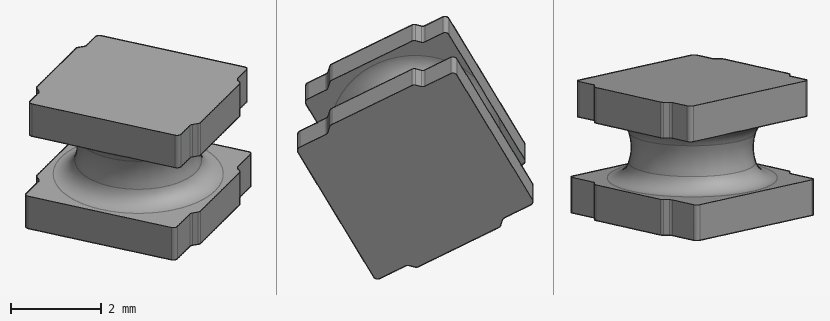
import cadquery as cq
import math

total_height = 3.02
neck_height = 1.4
flange_thickness = (total_height - neck_height) / 2
neck_middle_z = total_height / 2

flange_width = 4.0
lower_flange_depth = 4.0
upper_flange_depth = 3.6
shoulder_step = 0.15
lug_half_length = 1.05
edge_radius = 0.1

waist_radius = 1.35
fillet_radius = 0.5
waist_half_height = neck_height / 4


def make_flange(depth, base_z):
    """Flange with a rounded-corner lug on each X side."""
    lug_x = flange_width / 2
    shoulder_x = lug_x - shoulder_step
    shoulder_y = lug_half_length + shoulder_step
    end_y = depth / 2
    quarter = [
        (lug_x, lug_half_length),
        (shoulder_x, shoulder_y),
        (shoulder_x, end_y),
    ]
    right_side = [(x, -y) for x, y in reversed(quarter)] + quarter
    left_side = [(-x, -y) for x, y in right_side]
    return (
        cq.Workplane("XY", origin=(0, 0, base_z))
        .polyline(right_side + left_side)
        .close()
        .extrude(flange_thickness)
        .edges("|Z")
        .fillet(edge_radius)
    )


def make_neck():
    """Neck turned about Z, with horizontal tangents where it meets the flanges."""
    fillet_height = neck_height / 2 - waist_half_height
    joint_angle = math.asin(1 - fillet_height / fillet_radius)
    waist_arc_radius = waist_half_height / math.sin(joint_angle)
    joint_x = waist_radius + waist_arc_radius * (1 - math.cos(joint_angle))
    rim_x = joint_x + fillet_radius * math.cos(joint_angle)

    mid_angle = (joint_angle + math.pi / 2) / 2
    fillet_mid_x = rim_x - fillet_radius * math.cos(mid_angle)
    fillet_mid_z = neck_height / 2 - fillet_radius * (1 - math.sin(mid_angle))

    rim_z = neck_height / 2
    return (
        cq.Workplane("XZ", origin=(0, 0, neck_middle_z))
        .moveTo(0, -rim_z)
        .lineTo(rim_x, -rim_z)
        .threePointArc((fillet_mid_x, -fillet_mid_z), (joint_x, -waist_half_height))
        .threePointArc((waist_radius, 0), (joint_x, waist_half_height))
        .threePointArc((fillet_mid_x, fillet_mid_z), (rim_x, rim_z))
        .lineTo(0, rim_z)
        .close()
        .revolve(360, (0, 0, 0), (0, 1, 0))
    )


def trim_neck(neck):
    """Cut the upper rim of the neck flush with the narrower upper flange."""
    lower_half = cq.Workplane("XY").box(
        flange_width, lower_flange_depth, neck_middle_z, centered=(True, True, False)
    )
    upper_half = (
        cq.Workplane("XY", origin=(0, 0, neck_middle_z))
        .box(flange_width, upper_flange_depth, neck_middle_z, centered=(True, True, False))
    )
    return neck.intersect(lower_half.union(upper_half))


lower_flange = make_flange(lower_flange_depth, 0)
upper_flange = make_flange(upper_flange_depth, total_height - flange_thickness)
neck = trim_neck(make_neck())

result = lower_flange.union(neck).union(upper_flange)